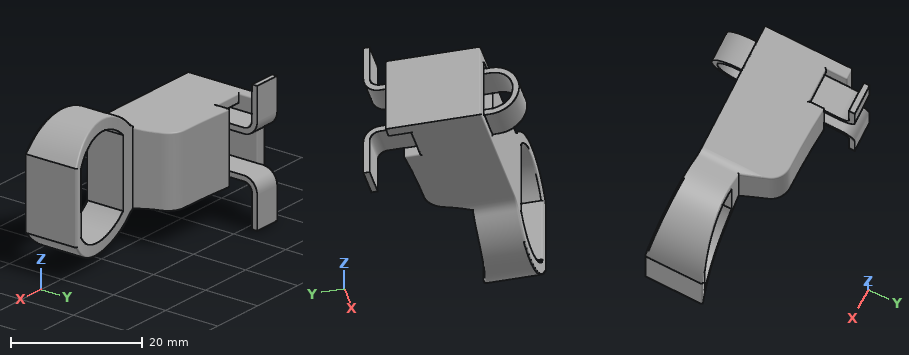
import cadquery as cq
import math


LENGTH = 40.5
ARM_HALF_HEIGHT = 6.52
RING_RADIUS = 11.05
NECK_RADIUS = 3.0
EDGE_RADIUS = 0.3
RING_X = LENGTH - math.sqrt(RING_RADIUS**2 - ARM_HALF_HEIGHT**2)

HOLE_RADIUS = 8.95
HOLE_LEFT = 25.2
HOLE_RIGHT = 38.5

LUG_BACK = 15.03
SHOULDER_BACK = 14.05
ARM_BACK = 13.55
CORNER_START_X = 18.1
CORNER_RADIUS = 3.32
SLOPE_DROP_ANGLE = math.radians(70.0)
RING_BACK = 7.1
RING_DISH_START_X = 25.1
RING_END_BACK = 9.95

CLIP_WIDTH = 5.02
CLIP_THICKNESS = 1.0
CLIP_X = 4.75
LOOP_RADIUS = 4.45
CLIP_FRONT = -5.45
CLIP_BACK = 19.05
CLIP_HEIGHT = 24.0
CLIP_DROP = 0.53
BEND_INNER_RADIUS = 1.58

SLOT_WIDTH = 5.5
SLOT_HALF_HEIGHT = LOOP_RADIUS + CLIP_DROP
SLOT_LEFT = CLIP_X - SLOT_WIDTH / 2
SLOT_RIGHT = CLIP_X + SLOT_WIDTH / 2
NOTCH_FLOOR = 11.45


def front_outline():
    """Arm and ring outline in XZ, extruded from the front face to the lug."""
    center_rise = ARM_HALF_HEIGHT + NECK_RADIUS
    center_gap = RING_RADIUS + NECK_RADIUS
    neck_x = RING_X - math.sqrt(center_gap**2 - center_rise**2)
    along = RING_RADIUS / center_gap
    ring_start_x = RING_X + (neck_x - RING_X) * along
    ring_start_z = center_rise * along
    return (
        cq.Workplane("XZ")
        .moveTo(0, -ARM_HALF_HEIGHT)
        .lineTo(neck_x, -ARM_HALF_HEIGHT)
        .radiusArc((ring_start_x, -ring_start_z), NECK_RADIUS)
        .threePointArc((RING_X, -RING_RADIUS), (LENGTH, -ARM_HALF_HEIGHT))
        .lineTo(LENGTH, ARM_HALF_HEIGHT)
        .threePointArc((RING_X, RING_RADIUS), (ring_start_x, ring_start_z))
        .radiusArc((neck_x, ARM_HALF_HEIGHT), NECK_RADIUS)
        .lineTo(0, ARM_HALF_HEIGHT)
        .close()
        .extrude(-LUG_BACK)
    )


def tangent_rise_radius(run, rise):
    """Radius of an arc that starts level and climbs by rise over run."""
    return (run**2 + rise**2) / (2 * rise)


def back_profile():
    """Solid whose back face follows the lug, notch, shoulder, slope and ring dish."""
    corner_end_x = CORNER_START_X + CORNER_RADIUS * math.sin(SLOPE_DROP_ANGLE)
    corner_end_y = ARM_BACK - CORNER_RADIUS * (1 - math.cos(SLOPE_DROP_ANGLE))
    slope_end_x = corner_end_x + (corner_end_y - RING_BACK) / math.tan(SLOPE_DROP_ANGLE)
    dish_radius = tangent_rise_radius(LENGTH - RING_DISH_START_X, RING_END_BACK - RING_BACK)
    shoulder_radius = tangent_rise_radius(CORNER_START_X - SLOT_RIGHT, SHOULDER_BACK - ARM_BACK)
    return (
        cq.Workplane("XY")
        .workplane(offset=-RING_RADIUS)
        .lineTo(LENGTH, 0)
        .lineTo(LENGTH, RING_END_BACK)
        .radiusArc((RING_DISH_START_X, RING_BACK), dish_radius)
        .lineTo(slope_end_x, RING_BACK)
        .lineTo(corner_end_x, corner_end_y)
        .radiusArc((CORNER_START_X, ARM_BACK), -CORNER_RADIUS)
        .radiusArc((SLOT_RIGHT, SHOULDER_BACK), shoulder_radius)
        .lineTo(SLOT_RIGHT, NOTCH_FLOOR)
        .lineTo(SLOT_LEFT, NOTCH_FLOOR)
        .lineTo(SLOT_LEFT, LUG_BACK)
        .lineTo(0, LUG_BACK)
        .close()
        .extrude(2 * RING_RADIUS)
    )


def finger_hole():
    """Round bore limited by two flats; both flare out with a rounded mouth at the front."""
    flare = EDGE_RADIUS
    bore = (
        cq.Workplane("XY")
        .lineTo(HOLE_RADIUS + flare, 0)
        .radiusArc((HOLE_RADIUS, flare), flare)
        .lineTo(HOLE_RADIUS, LUG_BACK)
        .lineTo(0, LUG_BACK)
        .close()
        .revolve(360, (0, 0, 0), (0, 1, 0))
        .translate((RING_X, 0, 0))
    )
    flat_limits = (
        cq.Workplane("XY")
        .workplane(offset=-RING_RADIUS)
        .moveTo(HOLE_LEFT - flare, 0)
        .lineTo(HOLE_RIGHT + flare, 0)
        .radiusArc((HOLE_RIGHT, flare), flare)
        .lineTo(HOLE_RIGHT, LUG_BACK)
        .lineTo(HOLE_LEFT, LUG_BACK)
        .lineTo(HOLE_LEFT, flare)
        .radiusArc((HOLE_LEFT - flare, 0), flare)
        .close()
        .extrude(2 * RING_RADIUS)
    )
    return bore.intersect(flat_limits)


def clip_slot():
    """Rectangular slot through the arm from front to back."""
    return (
        cq.Workplane("XY")
        .box(SLOT_WIDTH, LUG_BACK, 2 * SLOT_HALF_HEIGHT, centered=(True, False, True))
        .translate((CLIP_X, 0, 0))
    )


def is_rounded_back_edge(edge):
    """True for the back edges of the outer walls and the top corners of the notch."""
    center = edge.Center()
    box = edge.BoundingBox()
    touches_front = box.ymin < EDGE_RADIUS
    crosses_back = box.zmin < 0 < box.zmax and EDGE_RADIUS < center.x < LENGTH - EDGE_RADIUS
    is_notch_corner = crosses_back and center.x < CORNER_START_X and center.y > ARM_BACK
    return is_notch_corner or not (touches_front or crosses_back)


def round_back_edges(body):
    rounded_edges = body.edges().filter(is_rounded_back_edge).vals()
    return body.newObject(rounded_edges).fillet(EDGE_RADIUS)


def make_body():
    body = front_outline().intersect(back_profile())
    body = round_back_edges(body)
    body = body.faces("<Y").edges().fillet(EDGE_RADIUS)
    return body.cut(finger_hole()).cut(clip_slot())


def make_clip():
    """Strip centre line: upper leg, bend, front loop, bend, lower leg."""
    half = CLIP_THICKNESS / 2
    leg_y = CLIP_BACK - half
    strip_z = LOOP_RADIUS - half
    loop_y = CLIP_FRONT + LOOP_RADIUS
    bend_radius = BEND_INNER_RADIUS + half
    leg_end = CLIP_HEIGHT / 2
    path = (
        cq.Workplane("YZ")
        .moveTo(leg_y, leg_end)
        .lineTo(leg_y, strip_z + bend_radius)
        .radiusArc((leg_y - bend_radius, strip_z), bend_radius)
        .lineTo(loop_y, strip_z)
        .threePointArc((CLIP_FRONT + half, 0), (loop_y, -strip_z))
        .lineTo(leg_y - bend_radius, -strip_z)
        .radiusArc((leg_y, -strip_z - bend_radius), bend_radius)
        .lineTo(leg_y, -leg_end)
    )
    strip = (
        cq.Workplane("XY")
        .workplane(offset=leg_end)
        .center(0, leg_y)
        .rect(CLIP_WIDTH, CLIP_THICKNESS)
        .sweep(path)
    )
    return strip.translate((CLIP_X, 0, -CLIP_DROP))


body = make_body()
clip = make_clip()
result = cq.Compound.makeCompound([body.val(), clip.val()])